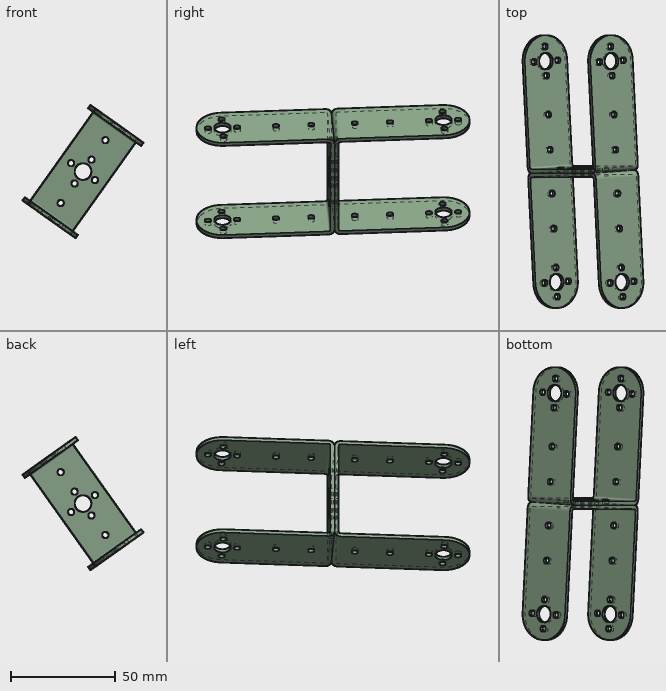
import cadquery as cq

sheet = 2.0
inner_bend_radius = 1.0
outer_bend_radius = inner_bend_radius + sheet

width = 25.0
height = 56.1
arm_end_radius = width / 2
arm_hub_distance = 53.0
arm_length = arm_hub_distance + arm_end_radius

hub_hole_diameter = 8.0
screw_hole_diameter = 3.0
screw_circle_diameter = 14.0
screw_count = 4

web_hole_spacing = 36.9
arm_hole_distances = [10.5, 27.3]

yaw_angle = 3.4
pitch_angle = 35.4

Z_AXIS = (0, 0, 1)
Y_AXIS = (0, 1, 0)
ORIGIN = (0, 0, 0)


def hub_holes(plane, hub_position, depth):
    """Cutters for a hub pattern, centred in depth on the plane."""
    centre = cq.Workplane(plane).center(*hub_position)
    large = centre.circle(hub_hole_diameter / 2).extrude(depth, both=True)
    screws = (
        centre.polarArray(screw_circle_diameter / 2, 0, 360, screw_count)
        .circle(screw_hole_diameter / 2)
        .extrude(depth, both=True)
    )
    return large.union(screws)


def screw_holes(plane, positions, depth):
    """Cutters for single small holes, centred in depth on the plane."""
    return cq.Workplane(plane).pushPoints(positions).circle(screw_hole_diameter / 2).extrude(depth, both=True)


def bent_sheet():
    """U-shaped sheet with the back of its web on Y = 0 and its arms toward +Y."""
    outside = (
        cq.Workplane("XY")
        .box(width, arm_length, height)
        .edges("|X and <Y")
        .fillet(outer_bend_radius)
        .translate((0, arm_length / 2, 0))
    )
    inside = (
        cq.Workplane("XY")
        .box(width, arm_length, height - 2 * sheet)
        .edges("|X and <Y")
        .fillet(inner_bend_radius)
        .translate((0, sheet + arm_length / 2, 0))
    )
    return outside.cut(inside)


def arm_outline():
    """Prism over the plan of the arms, with round ends."""
    return (
        cq.Workplane("XY")
        .moveTo(-arm_end_radius, 0)
        .lineTo(-arm_end_radius, arm_hub_distance)
        .threePointArc((0, arm_length), (arm_end_radius, arm_hub_distance))
        .lineTo(arm_end_radius, 0)
        .close()
        .extrude(height / 2, both=True)
    )


def make_bracket(turn):
    """One bracket, turned about the vertical and then tilted into its final attitude."""
    web_points = [(0, web_hole_spacing / 2), (0, -web_hole_spacing / 2)]
    arm_points = [(0, distance) for distance in arm_hole_distances]
    return (
        bent_sheet()
        .intersect(arm_outline())
        .cut(hub_holes("XZ", (0, 0), outer_bend_radius))
        .cut(screw_holes("XZ", web_points, outer_bend_radius))
        .cut(hub_holes("XY", (0, arm_hub_distance), height))
        .cut(screw_holes("XY", arm_points, height))
        .rotate(ORIGIN, Z_AXIS, turn + yaw_angle)
        .rotate(ORIGIN, Y_AXIS, pitch_angle)
    )


brackets = [make_bracket(turn) for turn in (0, 180)]
result = cq.Compound.makeCompound([bracket.val() for bracket in brackets])